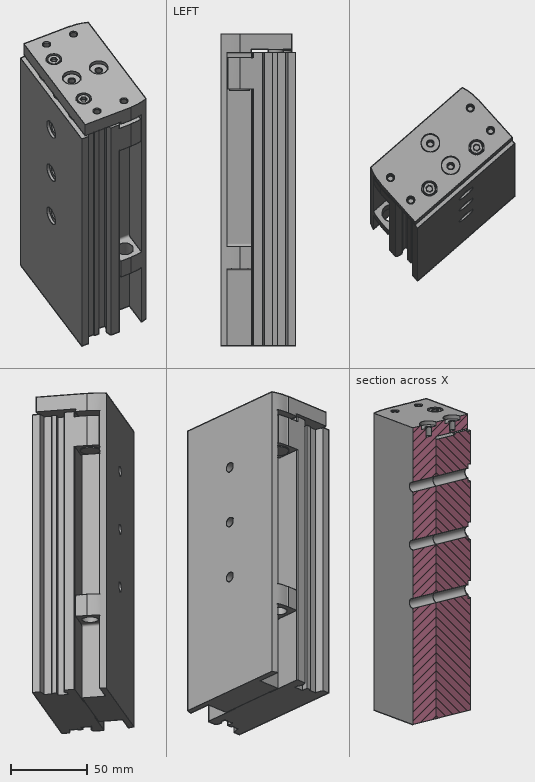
import cadquery as cq
import math

WIDTH = 85.0
DEPTH = 49.0
HEIGHT = 204.5
HALF_WIDTH = WIDTH / 2
BACK_Y = DEPTH / 2
FRONT_Y = -DEPTH / 2
SIDES = (-1, 1)

CORNER_INSET = 2.5
CORNER_START_Y = 12.7
LEAD_IN_WIDTH = 0.2
LEAD_IN_LENGTH = 0.6
CLEARANCE = 0.6

BACK_PLATE_THICKNESS = 4.0
TOP_PLATE_THICKNESS = 10.2
TOP_PLATE_FRONT_Y = -22.0
TABLE_GAP = 1.8
CORE_HALF_WIDTH = 24.5
CORE_FRONT_Y = 4.5
CORE_FILLET = 1.6
BLOCK_BOTTOM_Z = 50.5
BLOCK_HEIGHT = 14.7
ABSORBER_X = 33.7
ABSORBER_Y = 12.3
ABSORBER_BORE = 10.8
BACK_PLATE_FRONT_Y = BACK_Y - BACK_PLATE_THICKNESS

TAP_DIAMETER = 4.0
CORNER_TAP_MOUTH = 5.3
CENTRE_TAP_MOUTH = 5.0
TAP_DEPTH = 6.1
TAP_X = 35.0
TAP_ROWS_Y = (10.8, -9.2)
CENTRING_DIAMETER = 12.0
CENTRING_DEPTH = 2.7
ROD_X = 20.7
ROD_Y = -11.5
ROD_DIAMETER = 10.0
SCREW_RECESS_DIAMETER = 10.0
SCREW_RECESS_DEPTH = 6.1
SCREW_HEAD_DIAMETER = 8.0
SCREW_HEAD_HEIGHT = 5.7
SOCKET_DIAMETER = 4.5
SOCKET_DEPTH = 2.5

HOUSING_HEIGHT = HEIGHT - TOP_PLATE_THICKNESS - TABLE_GAP
HOUSING_BACK_Y = CORE_FRONT_Y - CLEARANCE
BACK_EDGE_CHAMFER = 0.6
RAIL_WIDTH = 32.7
STOP_BOTTOM_Z = 168.3
STOP_TOP_Z = 189.0
STOP_INNER_X = CORE_HALF_WIDTH + CLEARANCE
STOP_BACK_Y = BACK_PLATE_FRONT_Y - CLEARANCE
ABSORBER_TIP_DIAMETER = 13.0
ABSORBER_TIP_LENGTH = 0.8
BUFFER_DIAMETER = 10.8
BUFFER_HEIGHT = 1.2
BUFFER_Y = -16.5
GLAND_DIAMETER = 20.0
GLAND_DEPTH = 0.6

REAR_LIP_OUTER_Y = -2.9
REAR_LIP_RADIUS = 8.2
REAR_LIP_Y = -4.0
REAR_LIP_INNER_X = 38.2
REAR_GROOVE_BACK_Y = -2.7
REAR_GROOVE_WIDE_X = 36.0
REAR_GROOVE_FLOOR_X = 33.3
RIB_BACK_Y = -9.5
RIB_FRONT_Y = -12.7
RIB_X = 37.8
FRONT_GROOVE_FLOOR_X = 36.8
FLANGE_ROOT_Y = -18.0
FLANGE_EDGE_Y = -19.5

MOUNT_TOP_Z = 163.5
MOUNT_PITCH = 40.0
MOUNT_COUNT = 3
MOUNT_BORE = 6.5
MOUNT_RECESS_DIAMETER = 12.0
MOUNT_RECESS_DEPTH = 2.0
MOUNT_HEIGHTS = [MOUNT_TOP_Z - i * MOUNT_PITCH for i in range(MOUNT_COUNT)]


def box(x_min, x_max, y_min, y_max, z_min, z_max):
    """Box between two opposite corners."""
    size = (x_max - x_min, y_max - y_min, z_max - z_min)
    return cq.Workplane("XY").box(*size, centered=False).translate((x_min, y_min, z_min))


def cylinder(x, y, z_bottom, diameter, height):
    """Upright cylinder."""
    return cq.Workplane("XY", origin=(x, y, z_bottom)).circle(diameter / 2).extrude(height)


def rounded_envelope():
    """Full-height block with bulged sides that run in towards the back."""
    start_x = HALF_WIDTH - LEAD_IN_WIDTH
    back_x = HALF_WIDTH - CORNER_INSET
    inset = start_x - back_x
    length = BACK_Y - CORNER_START_Y
    radius = (inset**2 + length**2) / (2 * inset)
    middle_y = CORNER_START_Y + length / 2
    middle_x = start_x - radius + math.sqrt(radius**2 - (length / 2) ** 2)
    flat_end_y = CORNER_START_Y - LEAD_IN_LENGTH
    return (
        cq.Workplane("XY")
        .moveTo(-HALF_WIDTH, FRONT_Y)
        .lineTo(HALF_WIDTH, FRONT_Y)
        .lineTo(HALF_WIDTH, flat_end_y)
        .lineTo(start_x, CORNER_START_Y)
        .threePointArc((middle_x, middle_y), (back_x, BACK_Y))
        .lineTo(-back_x, BACK_Y)
        .threePointArc((-middle_x, middle_y), (-start_x, CORNER_START_Y))
        .lineTo(-HALF_WIDTH, flat_end_y)
        .close()
        .extrude(HEIGHT)
    )


def mount_bores(y_start, length, diameter):
    """Cutters for the row of mounting holes, running towards +Y."""
    points = [(0, z) for z in MOUNT_HEIGHTS]
    plane = cq.Workplane("XZ", origin=(0, y_start, 0))
    return plane.pushPoints(points).circle(diameter / 2).extrude(-length)


def table_side_pocket(side, z_min, z_max, rounded_edges):
    """Open space beside the core; its rounded edges leave fillets on the core."""
    pocket = box(
        CORE_HALF_WIDTH, HALF_WIDTH, CORE_FRONT_Y, BACK_PLATE_FRONT_Y, z_min, z_max
    )
    pocket = pocket.edges(rounded_edges).fillet(CORE_FILLET)
    return pocket if side > 0 else pocket.mirror("YZ")


def tapped_hole(x, y, z_top, mouth_diameter):
    """Cutter for a blind threaded hole with a countersunk mouth."""
    hole = cylinder(x, y, z_top - TAP_DEPTH, TAP_DIAMETER, TAP_DEPTH)
    mouth_depth = (mouth_diameter - TAP_DIAMETER) / 2
    mouth = (
        cq.Workplane("XY", origin=(x, y, z_top))
        .circle(mouth_diameter / 2)
        .workplane(offset=-mouth_depth)
        .circle(TAP_DIAMETER / 2)
        .loft()
    )
    return hole.union(mouth)


def screw_head(x, y):
    """Socket head that sits in its recess in the top plate."""
    head = cylinder(x, y, HEIGHT - SCREW_RECESS_DEPTH, SCREW_HEAD_DIAMETER, SCREW_HEAD_HEIGHT)
    socket_top = HEIGHT - SCREW_RECESS_DEPTH + SCREW_HEAD_HEIGHT
    socket = (
        cq.Workplane("XY", origin=(x, y, socket_top))
        .polygon(6, SOCKET_DIAMETER)
        .extrude(-SOCKET_DEPTH)
    )
    return head.cut(socket)


def make_slide_table():
    """Back plate with core, lower stop blocks, top plate and piston rod ends."""
    plate_bottom = HEIGHT - TOP_PLATE_THICKNESS
    block_top_z = BLOCK_BOTTOM_Z + BLOCK_HEIGHT
    table = rounded_envelope()
    table = table.cut(box(-HALF_WIDTH, HALF_WIDTH, FRONT_Y, CORE_FRONT_Y, 0, plate_bottom))
    table = table.cut(
        box(-HALF_WIDTH, HALF_WIDTH, FRONT_Y, TOP_PLATE_FRONT_Y, plate_bottom, HEIGHT)
    )
    for side in SIDES:
        table = table.cut(table_side_pocket(side, block_top_z, HOUSING_HEIGHT, "|Y and <X"))
        table = table.cut(table_side_pocket(side, 0, BLOCK_BOTTOM_Z, "|Y and <X and >Z"))
        table = table.cut(
            cylinder(side * ABSORBER_X, ABSORBER_Y, BLOCK_BOTTOM_Z, ABSORBER_BORE, BLOCK_HEIGHT)
        )

    rod_bottom = HOUSING_HEIGHT - GLAND_DEPTH
    rod_length = plate_bottom - rod_bottom
    for side in SIDES:
        rod_x = side * ROD_X
        table = table.union(cylinder(rod_x, ROD_Y, rod_bottom, ROD_DIAMETER, rod_length))
        recess_bottom = HEIGHT - SCREW_RECESS_DEPTH
        table = table.cut(
            cylinder(rod_x, ROD_Y, recess_bottom, SCREW_RECESS_DIAMETER, SCREW_RECESS_DEPTH)
        )
        table = table.union(screw_head(rod_x, ROD_Y))

    centring_floor = HEIGHT - CENTRING_DEPTH
    for y in TAP_ROWS_Y:
        for side in SIDES:
            table = table.cut(tapped_hole(side * TAP_X, y, HEIGHT, CORNER_TAP_MOUTH))
        table = table.cut(cylinder(0, y, centring_floor, CENTRING_DIAMETER, CENTRING_DEPTH))
        table = table.cut(tapped_hole(0, y, centring_floor, CENTRE_TAP_MOUTH))

    return table.cut(mount_bores(CORE_FRONT_Y, BACK_Y - CORE_FRONT_Y, MOUNT_BORE))


def half_housing():
    """Right half of the extruded section, with two sensor grooves in its side."""
    return (
        cq.Workplane("XY")
        .moveTo(0, FRONT_Y)
        .lineTo(HALF_WIDTH, FRONT_Y)
        .lineTo(HALF_WIDTH, FLANGE_EDGE_Y)
        .lineTo(RIB_X, FLANGE_ROOT_Y)
        .lineTo(FRONT_GROOVE_FLOOR_X, FLANGE_ROOT_Y)
        .lineTo(FRONT_GROOVE_FLOOR_X, RIB_FRONT_Y)
        .lineTo(RIB_X, RIB_FRONT_Y)
        .lineTo(RIB_X, RIB_BACK_Y)
        .lineTo(REAR_GROOVE_FLOOR_X, RIB_BACK_Y)
        .lineTo(REAR_GROOVE_FLOOR_X, REAR_GROOVE_BACK_Y)
        .lineTo(REAR_GROOVE_WIDE_X, REAR_GROOVE_BACK_Y)
        .lineTo(REAR_LIP_INNER_X, REAR_LIP_Y)
        .radiusArc((HALF_WIDTH, REAR_LIP_OUTER_Y), -REAR_LIP_RADIUS)
        .lineTo(HALF_WIDTH, HOUSING_BACK_Y - BACK_EDGE_CHAMFER)
        .lineTo(HALF_WIDTH - BACK_EDGE_CHAMFER, HOUSING_BACK_Y)
        .lineTo(0, HOUSING_BACK_Y)
        .close()
        .extrude(HOUSING_HEIGHT)
    )


def stop_block(side):
    """Upper stop block behind the housing, with the tip of its shock absorber."""
    root_y = HOUSING_BACK_Y - BACK_EDGE_CHAMFER
    block = box(STOP_INNER_X, HALF_WIDTH, root_y, STOP_BACK_Y, STOP_BOTTOM_Z, STOP_TOP_Z)
    block = block.intersect(rounded_envelope())
    tip_bottom = STOP_BOTTOM_Z - ABSORBER_TIP_LENGTH
    tip = cylinder(
        ABSORBER_X, ABSORBER_Y, tip_bottom, ABSORBER_TIP_DIAMETER, ABSORBER_TIP_LENGTH
    )
    block = block.union(tip)
    return block if side > 0 else block.mirror("YZ")


def make_housing():
    """Grooved housing with guide rail, upper stop blocks and mounting holes."""
    right_half = half_housing()
    housing = right_half.union(right_half.mirror("YZ"))
    housing = housing.union(
        box(-RAIL_WIDTH / 2, RAIL_WIDTH / 2, HOUSING_BACK_Y, CORE_FRONT_Y, 0, HOUSING_HEIGHT)
    )
    for side in SIDES:
        housing = housing.union(stop_block(side))
        gland_bottom = HOUSING_HEIGHT - GLAND_DEPTH
        housing = housing.cut(
            cylinder(side * ROD_X, ROD_Y, gland_bottom, GLAND_DIAMETER, GLAND_DEPTH)
        )
    housing = housing.union(cylinder(0, BUFFER_Y, HOUSING_HEIGHT, BUFFER_DIAMETER, BUFFER_HEIGHT))
    housing = housing.cut(mount_bores(FRONT_Y, CORE_FRONT_Y - FRONT_Y, MOUNT_BORE))
    return housing.cut(mount_bores(FRONT_Y, MOUNT_RECESS_DEPTH, MOUNT_RECESS_DIAMETER))


slide_table = make_slide_table()
housing = make_housing()

result = cq.Compound.makeCompound([slide_table.solids().val(), housing.solids().val()])